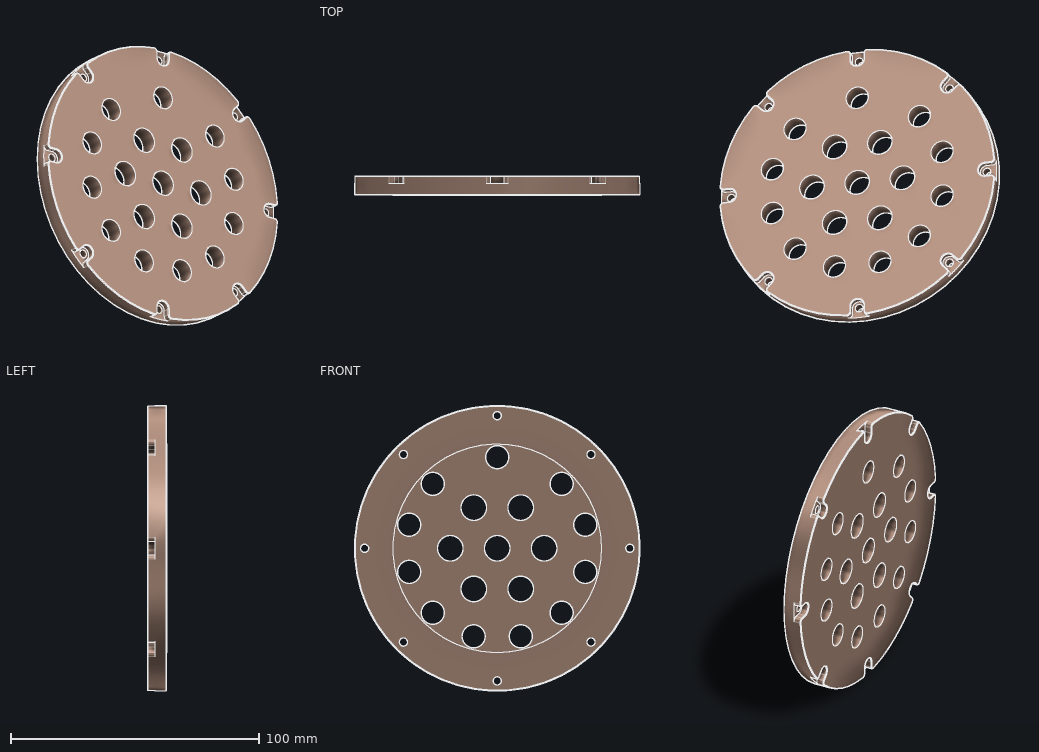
import cadquery as cq
import math

plate_diameter = 115.0
total_thickness = 8.0
boss_diameter = 84.0
boss_height = 0.2
edge_chamfer = 0.3

inner_hole_diameter = 10.2
inner_ring_radius = 18.9
inner_ring_count = 6
outer_hole_diameter = 9.2
outer_ring_radius = 36.7
outer_ring_angles = [15, 45, 90, 135, 165, 195, 225, 255, 285, 315, 345]

screw_count = 8
screw_circle_radius = 53.4
screw_hole_diameter = 3.2
recess_width = 5.5
recess_lip_radius = 1.5
recess_depth = 3.0

front_y = -total_thickness / 2
back_y = total_thickness / 2
plate_front_y = front_y + boss_height


def polar(radius, angle):
    """Point at the given radius and angle (degrees) in the XZ plane."""
    theta = math.radians(angle)
    return (radius * math.cos(theta), radius * math.sin(theta))


def even_ring(radius, count):
    """Points spaced evenly round a circle, the first on +X."""
    return [polar(radius, i * 360 / count) for i in range(count)]


def cylinders(points, diameter, start_y, end_y):
    """Cylinders along Y between two stations, one at each (x, z) point."""
    return (
        cq.Workplane("XZ", origin=(0, start_y, 0))
        .pushPoints(points)
        .circle(diameter / 2)
        .extrude(start_y - end_y)
    )


def make_plate():
    centre = [(0, 0)]
    plate = cylinders(centre, plate_diameter, plate_front_y, back_y)
    plate = plate.faces("<Y").edges().chamfer(edge_chamfer)
    boss = cylinders(centre, boss_diameter, front_y, back_y)
    return plate.union(boss, clean=True)


def cut_perforation(body):
    inner_points = [(0, 0)] + even_ring(inner_ring_radius, inner_ring_count)
    outer_points = [polar(outer_ring_radius, angle) for angle in outer_ring_angles]
    body = body.cut(cylinders(inner_points, inner_hole_diameter, front_y, back_y))
    return body.cut(cylinders(outer_points, outer_hole_diameter, front_y, back_y))


def make_screw_recess():
    """Solid filling the recess on the +X side."""
    plate_radius = plate_diameter / 2
    half_width = recess_width / 2
    lip_centre_z = half_width + recess_lip_radius
    lip_centre_x = math.sqrt((plate_radius - recess_lip_radius) ** 2 - lip_centre_z**2)
    rim_scale = plate_radius / (plate_radius - recess_lip_radius)
    mouth_x = lip_centre_x * rim_scale
    mouth_z = lip_centre_z * rim_scale
    lip_mid_offset = recess_lip_radius * math.sqrt(0.5)
    lip_mid_x = lip_centre_x + lip_mid_offset
    lip_mid_z = lip_centre_z - lip_mid_offset
    return (
        cq.Workplane("XZ", origin=(0, back_y, 0))
        .moveTo(mouth_x, -mouth_z)
        .threePointArc((lip_mid_x, -lip_mid_z), (lip_centre_x, -half_width))
        .lineTo(screw_circle_radius, -half_width)
        .threePointArc((screw_circle_radius - half_width, 0), (screw_circle_radius, half_width))
        .lineTo(lip_centre_x, half_width)
        .threePointArc((lip_mid_x, lip_mid_z), (mouth_x, mouth_z))
        .threePointArc((plate_radius, 0), (mouth_x, -mouth_z))
        .close()
        .extrude(recess_depth)
    )


def cut_rim_screws(body):
    points = even_ring(screw_circle_radius, screw_count)
    body = body.cut(cylinders(points, screw_hole_diameter, front_y, back_y))
    recess = make_screw_recess()
    for i in range(screw_count):
        body = body.cut(recess.rotate((0, 0, 0), (0, 1, 0), i * 360 / screw_count))
    return body


def chamfer_back_outline(body):
    """Chamfer the back edge all round the rim and in and out of the recesses."""
    return body.faces(">Y").wires(cq.selectors.LengthNthSelector(-1)).chamfer(edge_chamfer)


result = make_plate()
result = cut_perforation(result)
result = cut_rim_screws(result)
result = chamfer_back_outline(result)